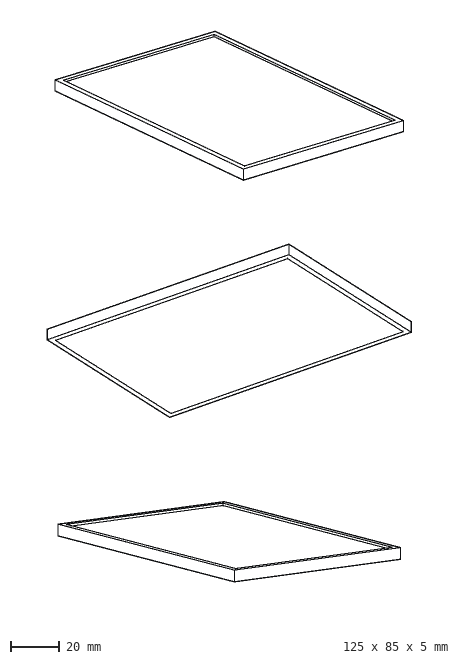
import cadquery as cq

length = 125.0
width = 85.0
height = 5.0
rim = 2.5

panel_drop = 1.0
panel_length = length - 2 * rim
panel_width = width - 2 * rim
panel_thickness = height - panel_drop


def make_frame():
    """Rectangular frame, open from top to bottom."""
    return (
        cq.Workplane("XY")
        .rect(length, width)
        .rect(panel_length, panel_width)
        .extrude(height)
    )


def make_panel():
    """Flat panel, flush with the bottom of the frame and touching all four walls."""
    return cq.Workplane("XY").rect(panel_length, panel_width).extrude(panel_thickness)


frame = make_frame()
panel = make_panel()
result = cq.Compound.makeCompound([frame.val(), panel.val()])